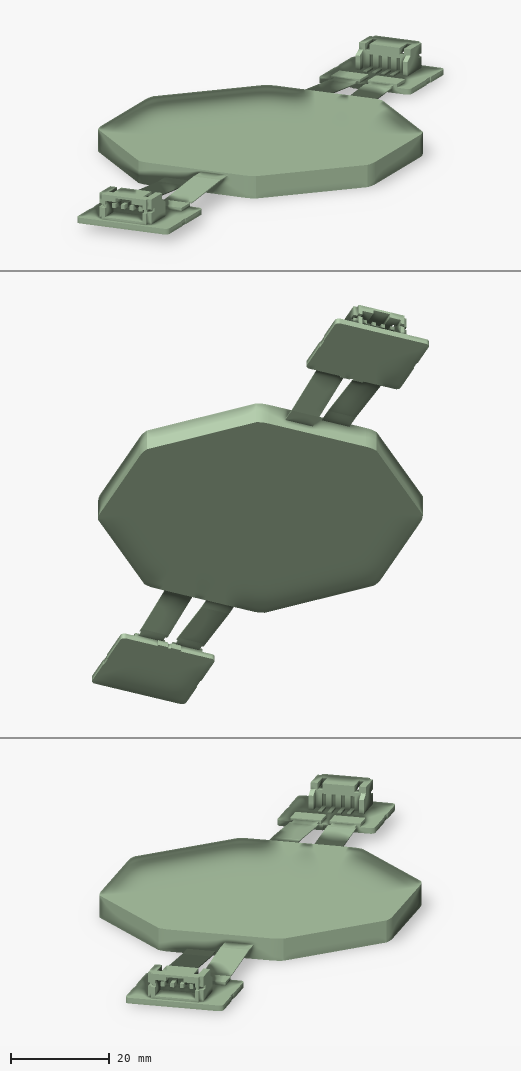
import cadquery as cq

plate_size = 61.2
plate_thickness = 4.7
plate_flat_width = 21.3
corner_run = 2.5
corner_drop = 0.5
corner_radius = (corner_run**2 + corner_drop**2) / (2 * corner_drop)

overall_length = 132.2
overall_height = 7.97
board_width = 20.5
board_length = 16.8
board_thickness = 1.2
board_corner_radius = 0.9
board_lift_rear = 0.35
board_lift_front = 1.5
edge_notch_length = 2.1
edge_notch_depth = 0.15
edge_notch_inset = 7.8
tab_width = 5.0
tab_length = 0.4
tab_notch_radius = 0.4
board_outer = overall_length / 2
board_inner = board_outer - board_length

pad_width = 6.5
pad_length = 4.0
pad_height = 0.75
pad_offset = 4.1

ribbon_width = 6.0
ribbon_offset = 4.0
ribbon_thickness = 0.2
ribbon_neck_width = 5.2
ribbon_neck_length = 1.5
ribbon_bend_inset = 2.4
ribbon_level_length = 3.5
ribbon_gap_over_board = 0.2
ribbon_step_up = 1.1
ribbon_step_down = 1.0
plate_half = plate_size / 2
neck_end = board_inner - ribbon_neck_length
bend_start = board_inner - ribbon_bend_inset
level_start = plate_half + ribbon_level_length

housing_width = 11.6
housing_roof_length = 6.0
housing_arm_reach = 1.6
housing_arm_width = 1.0
housing_height = overall_height - board_lift_front - board_thickness
housing_inset = 0.9
arm_height = 3.0
arm_slope_height = 3.9
back_wall = 1.4
mouth_width = 8.4
mouth_top = housing_height - 1.3
mouth_floor = 0.5
ledge_height = 1.8
ledge_length = 0.4
key_width = 3.6
key_height = 0.8
corner_step = 0.8
latch_bottom = 2.4
latch_height = 0.7
latch_reach = 2.2
latch_pocket_depth = 1.0
roof_slot_width = 1.0
roof_slot_offset = 3.85
roof_slot_start = 2.2
roof_slot_depth = 1.4

pin_count = 4
pin_pitch = 2.0
pin_width = 0.8
pin_bottom = 2.2
pin_top = 3.1
pin_tip_inset = 1.6
pin_leg_thickness = 0.6
pin_slot_depth = 1.2
pin_foot_length = 3.0
pin_foot_height = 0.4


def box(x_range, y_range, z_range):
    """Axis-aligned block between pairs of limits."""
    size = [high - low for low, high in (x_range, y_range, z_range)]
    corner = (x_range[0], y_range[0], z_range[0])
    return cq.Workplane("XY").box(*size, centered=False).translate(corner)


def centred_box(x_centre, width, y_range, z_range):
    """Block that is centred across X."""
    return box((x_centre - width / 2, x_centre + width / 2), y_range, z_range)


def quarter_turns(point, count):
    """Point turned about Z by a number of right angles."""
    x, y = point
    for _ in range(count):
        x, y = -y, x
    return (x, y)


def make_plate():
    """Octagon whose axis faces curve towards the diagonal faces and meet them at a slight crease."""
    flat_end = plate_flat_width / 2
    crease_far = flat_end + corner_run
    crease_near = plate_half - corner_drop
    outline = cq.Workplane("XY").moveTo(plate_half, -flat_end)
    for count in range(4):
        outline = outline.lineTo(*quarter_turns((plate_half, flat_end), count))
        outline = outline.radiusArc(quarter_turns((crease_near, crease_far), count), -corner_radius)
        outline = outline.lineTo(*quarter_turns((crease_far, crease_near), count))
        outline = outline.radiusArc(quarter_turns((flat_end, plate_half), count), -corner_radius)
    return outline.close().extrude(plate_thickness)


def make_board():
    """Board with side notches, a breakaway tab and two pads; its underside is at Z = 0."""
    board = centred_box(0, board_width, (board_inner, board_outer), (0, board_thickness))
    board = board.edges("|Z").fillet(board_corner_radius)
    tab_end = board_inner - tab_length
    tab = centred_box(0, tab_width, (tab_end, board_inner), (0, board_thickness))
    tab_notch = cq.Workplane("XY").center(0, tab_end).circle(tab_notch_radius).extrude(board_thickness)
    board = board.union(tab).cut(tab_notch)
    notch_y = board_outer - edge_notch_inset
    for side in (-1, 1):
        notch_range = (notch_y - edge_notch_length / 2, notch_y + edge_notch_length / 2)
        board_edge = side * board_width / 2
        board = board.cut(centred_box(board_edge, 2 * edge_notch_depth, notch_range, (0, board_thickness)))
    for side in (-1, 1):
        pad_y = (board_inner, board_inner + pad_length)
        pad = centred_box(side * pad_offset, pad_width, pad_y, (0, board_thickness + pad_height))
        board = board.union(pad)
    return board


def make_housing():
    """Side-entry connector housing: the mouth is at Y = 0, the back wall runs along -Y."""
    arm_end = -housing_roof_length - housing_arm_reach
    profile = [
        (0, 0),
        (0, housing_height),
        (-housing_roof_length, housing_height),
        (-housing_roof_length, arm_slope_height),
        (arm_end, arm_height),
        (arm_end, 0),
    ]
    housing = cq.Workplane("YZ").polyline(profile).close().extrude(housing_width / 2, both=True)
    between_arms = housing_width - 2 * housing_arm_width
    housing = housing.cut(
        centred_box(0, between_arms, (arm_end, -housing_roof_length), (0, housing_height))
    )

    cavity_back = back_wall - housing_roof_length
    cavity_y = (cavity_back, 0)
    housing = housing.cut(centred_box(0, mouth_width, cavity_y, (mouth_floor, mouth_top)))
    housing = housing.cut(centred_box(0, key_width, cavity_y, (mouth_floor, mouth_top + key_height)))
    ledge_y = (cavity_back, cavity_back + ledge_length)
    housing = housing.union(centred_box(0, mouth_width, ledge_y, (0, ledge_height)))

    latch_z = (latch_bottom, latch_bottom + latch_height)
    slit_width = housing_width / 2
    for side in (-1, 1):
        edge_x = side * housing_width / 2
        corner = centred_box(edge_x, 2 * corner_step, (-corner_step, 0), (0, housing_height))
        slit = centred_box(edge_x, slit_width, (-corner_step, 0), latch_z)
        pocket = centred_box(edge_x, 2 * latch_pocket_depth, (-latch_reach, 0), latch_z)
        roof_slot = centred_box(
            side * roof_slot_offset,
            roof_slot_width,
            (-housing_roof_length, -roof_slot_start),
            (housing_height - roof_slot_depth, housing_height),
        )
        housing = housing.cut(corner).cut(slit).cut(pocket).cut(roof_slot)
    return housing


def add_contacts(housing):
    """Recess each contact in the back wall: pin into the mouth, leg down, foot outwards."""
    back = -housing_roof_length
    slot_bottom = back + pin_slot_depth
    leg_back = slot_bottom - pin_leg_thickness
    for index in range(pin_count):
        x = (index - (pin_count - 1) / 2) * pin_pitch
        slot = centred_box(x, pin_width, (back, slot_bottom), (0, pin_top))
        pin = centred_box(x, pin_width, (slot_bottom, -pin_tip_inset), (pin_bottom, pin_top))
        leg = centred_box(x, pin_width, (leg_back, slot_bottom), (0, pin_top))
        foot = centred_box(x, pin_width, (back - pin_foot_length, slot_bottom), (0, pin_foot_height))
        housing = housing.cut(slot).union(pin).union(leg).union(foot)
    return housing


def make_terminal():
    """Board with its connector, at the +Y end and with the underside at Z = 0."""
    connector = add_contacts(make_housing())
    connector = connector.translate((0, board_outer - housing_inset, board_thickness))
    return make_board().union(connector)


def ribbon_strip(x_centre, rear_step, front_step):
    """One ribbon from board to board; the steps are its rises from each board to the plate."""
    over_board = board_thickness + ribbon_gap_over_board
    rear_z = board_lift_rear + over_board
    front_z = board_lift_front + over_board
    underside = [
        (neck_end, rear_z),
        (bend_start, rear_z),
        (level_start, rear_z + rear_step),
        (plate_half, rear_z + rear_step),
        (-plate_half, front_z + front_step),
        (-level_start, front_z + front_step),
        (-bend_start, front_z),
        (-neck_end, front_z),
    ]
    top = [(y, z + ribbon_thickness) for y, z in reversed(underside)]
    strip = cq.Workplane("YZ").polyline(underside + top).close().extrude(ribbon_width / 2, both=True)
    pad_middle = board_inner + pad_length / 2
    for y_range, z in (((neck_end, pad_middle), rear_z), ((-pad_middle, -neck_end), front_z)):
        neck = centred_box(0, ribbon_neck_width, y_range, (z, z + ribbon_thickness))
        strip = strip.union(neck)
    return strip.translate((x_centre, 0, 0))


left_ribbon = ribbon_strip(-ribbon_offset, ribbon_step_up, -ribbon_step_down)
right_ribbon = ribbon_strip(ribbon_offset, -ribbon_step_down, ribbon_step_up)
terminal = make_terminal()
rear_terminal = terminal.translate((0, 0, board_lift_rear))
front_terminal = terminal.rotate((0, 0, 0), (0, 0, 1), 180).translate((0, 0, board_lift_front))
harness = rear_terminal.union(left_ribbon).union(right_ribbon).union(front_terminal)

plate = make_plate().cut(left_ribbon).cut(right_ribbon)

result = cq.Compound.makeCompound([plate.val(), harness.val()])